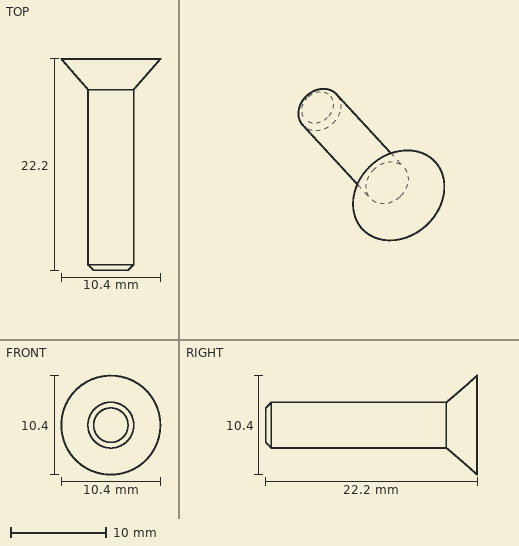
import cadquery as cq

total_length = 22.23
head_diameter = 10.45
head_height = 3.22
shank_diameter = 4.82
tip_chamfer = 0.6

head_radius = head_diameter / 2
shank_radius = shank_diameter / 2

half_profile = (
    cq.Workplane("XY")
    .lineTo(head_radius, 0)
    .lineTo(shank_radius, -head_height)
    .lineTo(shank_radius, -total_length + tip_chamfer)
    .lineTo(shank_radius - tip_chamfer, -total_length)
    .lineTo(0, -total_length)
    .close()
)

result = half_profile.revolve(360, (0, 0, 0), (0, 1, 0))